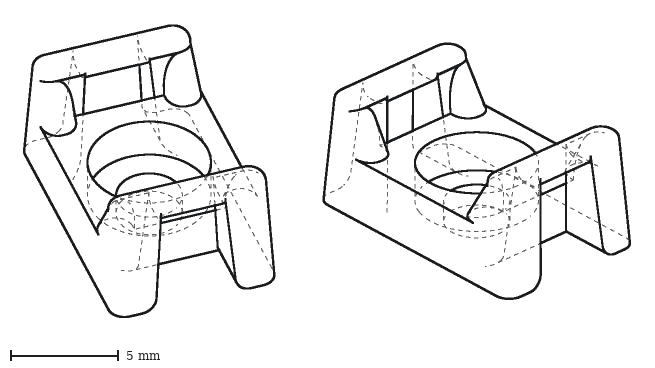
import cadquery as cq
import math

LENGTH = 13.16
WIDTH = 8.13
HEIGHT = 5.79
END_DRAFT = math.tan(math.radians(5.0))
SIDE_DRAFT = math.tan(math.radians(2.5))
CORNER_RADIUS = 0.79

DECK_HEIGHT = 3.13
SCREW_HOLE_DIAMETER = 3.08
SCREW_HEAD_DIAMETER = 5.74
SCREW_HEAD_DEPTH = 2.04

POST_SLOPE = math.tan(math.radians(30.0))
POST_FOOT_X = 3.13
POST_INNER_Y = 2.22
POST_RADIUS = 0.79

BAR_INNER_X = 4.42
BAR_BOTTOM = 4.87
BAR_TOP_RADIUS = 0.32
BAR_UNDER_RADIUS = 0.57

SLOT_HALF_WIDTH_BASE = 2.0
SLOT_HALF_WIDTH_TOP = 1.55
SLOT_LIP_RADIUS = 0.74

MARGIN = 2.63


def trapezoid(plane, base_half, top_half):
    """Upright symmetric trapezoid, as tall as the part, extruded both ways from the plane."""
    return (
        cq.Workplane(plane)
        .polyline([(-base_half, 0), (base_half, 0), (top_half, HEIGHT), (-top_half, HEIGHT)])
        .close()
        .extrude(LENGTH, both=True)
    )


def drafted_block(end_extension=0.0):
    """Block whose ends and sides lean inwards, with sharp corners."""
    half_length = LENGTH / 2 + end_extension
    lengthwise = trapezoid("XZ", half_length, half_length - HEIGHT * END_DRAFT)
    crosswise = trapezoid("YZ", WIDTH / 2, WIDTH / 2 - HEIGHT * SIDE_DRAFT)
    return lengthwise.intersect(crosswise)


def box(x_min, x_max, half_width, z_min, z_max):
    """Box centred on the XZ plane."""
    return (
        cq.Workplane("XY", origin=((x_min + x_max) / 2, 0, z_min))
        .rect(x_max - x_min, 2 * half_width)
        .extrude(z_max - z_min)
    )


def slot_wall_x(z):
    """Distance of the slot's leaning inner wall from the centre at a height."""
    return BAR_INNER_X - (BAR_BOTTOM + BAR_UNDER_RADIUS - z) * END_DRAFT


def extruded_profile(profile):
    """Extrude a closed XZ profile symmetrically past both sides."""
    return profile.extrude(WIDTH / 2 + MARGIN, both=True)


def body():
    """Deck with two pairs of rounded, leaning posts at its ends."""
    head_x = POST_FOOT_X + (HEIGHT - DECK_HEIGHT) * POST_SLOPE
    gap = extruded_profile(
        cq.Workplane("XZ").polyline(
            [
                (-POST_FOOT_X, DECK_HEIGHT),
                (POST_FOOT_X, DECK_HEIGHT),
                (head_x, HEIGHT),
                (-head_x, HEIGHT),
            ]
        ).close()
    )
    between_posts = trapezoid("XZ", slot_wall_x(0), slot_wall_x(HEIGHT)).intersect(
        box(-LENGTH, LENGTH, POST_INNER_Y, DECK_HEIGHT, HEIGHT)
    )
    posts = drafted_block(MARGIN).cut(gap).cut(between_posts)
    leaning_edges = [
        edge
        for edge in posts.edges().vals()
        if 2 * END_DRAFT < abs(edge.tangentAt(0.5).x) < 2 * POST_SLOPE * abs(edge.tangentAt(0.5).z)
    ]
    posts = posts.newObject(leaning_edges).fillet(POST_RADIUS)
    rounded_block = drafted_block().edges("not(#Z)").fillet(CORNER_RADIUS)
    bar_edge = box(-LENGTH, LENGTH, WIDTH, HEIGHT - BAR_TOP_RADIUS, HEIGHT + MARGIN)
    return posts.intersect(rounded_block).cut(bar_edge)


def cross_bar():
    """Bar across the tops of the left pair of posts, before the slot is cut."""
    return (
        drafted_block()
        .intersect(box(-LENGTH, -BAR_INNER_X, WIDTH, BAR_BOTTOM, HEIGHT))
        .edges("not(#Z)")
        .fillet(CORNER_RADIUS)
        .faces(">Z")
        .edges()
        .fillet(BAR_TOP_RADIUS)
    )


def strap_slot():
    """Left slot: open below and at the end, rounded under the bar, tapering upwards."""
    bar_side = BAR_BOTTOM + BAR_UNDER_RADIUS
    bar_outer_x = LENGTH / 2 - bar_side * END_DRAFT
    bend = BAR_UNDER_RADIUS * math.sqrt(0.5)
    outside_x = -LENGTH / 2 - MARGIN
    profile = extruded_profile(
        cq.Workplane("XZ")
        .moveTo(outside_x, 0)
        .lineTo(-slot_wall_x(0), 0)
        .lineTo(-slot_wall_x(DECK_HEIGHT), DECK_HEIGHT)
        .lineTo(0, DECK_HEIGHT)
        .lineTo(0, bar_side)
        .lineTo(-BAR_INNER_X, bar_side)
        .threePointArc(
            (-BAR_INNER_X - BAR_UNDER_RADIUS + bend, bar_side - bend),
            (-BAR_INNER_X - BAR_UNDER_RADIUS, BAR_BOTTOM),
        )
        .lineTo(-bar_outer_x + BAR_UNDER_RADIUS, BAR_BOTTOM)
        .threePointArc(
            (-bar_outer_x + BAR_UNDER_RADIUS - bend, bar_side - bend),
            (-bar_outer_x, bar_side),
        )
        .lineTo(outside_x, bar_side)
        .close()
    )
    taper = trapezoid("YZ", SLOT_HALF_WIDTH_BASE, SLOT_HALF_WIDTH_TOP)
    return profile.intersect(taper)


def round_slot_lips(part):
    """Round the bottom edges of both slots."""
    slack = 0.13
    reach_x = LENGTH / 2 + slack
    reach_y = SLOT_HALF_WIDTH_BASE + slack
    wall_x = slot_wall_x(0) - slack
    left_lips = cq.selectors.BoxSelector((-reach_x, -reach_y, -slack), (-wall_x, reach_y, slack))
    right_lips = cq.selectors.BoxSelector((wall_x, -reach_y, -slack), (reach_x, reach_y, slack))
    lips = left_lips + right_lips
    return part.edges(lips).fillet(SLOT_LIP_RADIUS)


bar = cross_bar()
slot = strap_slot()
result = body().union(bar).union(bar.mirror("YZ"))
result = result.cut(slot).cut(slot.mirror("YZ"))
result = round_slot_lips(result)

screw_hole = cq.Workplane("XY").circle(SCREW_HOLE_DIAMETER / 2).extrude(DECK_HEIGHT)
screw_seat = (
    cq.Workplane("XY", origin=(0, 0, DECK_HEIGHT - SCREW_HEAD_DEPTH))
    .circle(SCREW_HEAD_DIAMETER / 2)
    .extrude(SCREW_HEAD_DEPTH)
)
result = result.cut(screw_hole).cut(screw_seat)